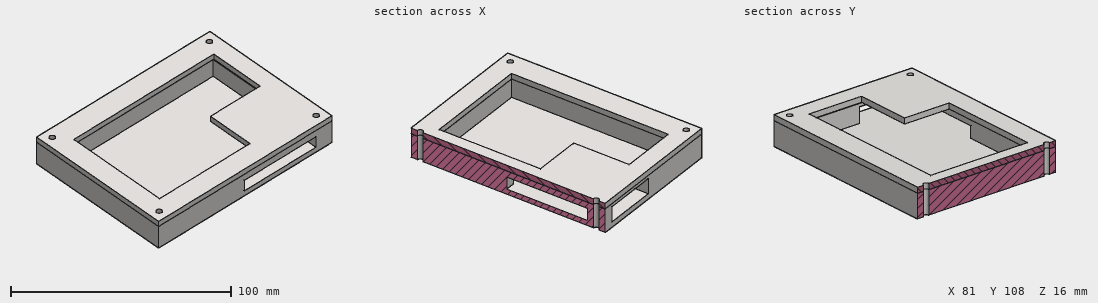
import cadquery as cq

LENGTH = 108.0
WIDTH = 81.0
HEIGHT = 16.0
LID_THICKNESS = 3.0
BASE_HEIGHT = HEIGHT - LID_THICKNESS
FLOOR_THICKNESS = 3.0

HOLE_DIAMETER = 2.9
HOLE_INSET = 5.1

WINDOW_X_MIN = 12.9
WINDOW_X_MAX = 69.7
WINDOW_Y_MIN = 11.2
WINDOW_Y_MAX = 98.4
WINDOW_STEP_X = 43.5
WINDOW_STEP_Y = 67.5

CAVITY_X_MIN = WINDOW_X_MIN
CAVITY_X_MAX = 70.7
CAVITY_Y_MIN = WINDOW_Y_MIN
CAVITY_Y_MAX = 98.0

SIDE_PORT_START_Y = 53.4
SIDE_PORT_TOP = 9.3
END_PORT_START_X = 42.1
END_PORT_TOP = 11.2


def box_between(x_range, y_range, z_range):
    """Box spanning the given minimum and maximum along each axis."""
    size = [high - low for low, high in (x_range, y_range, z_range)]
    corner = (x_range[0], y_range[0], z_range[0])
    return cq.Workplane("XY").box(*size, centered=False).translate(corner)


def screw_holes():
    """Four cylinders that pass through the full height."""
    centres = [
        (x, y)
        for x in (HOLE_INSET, WIDTH - HOLE_INSET)
        for y in (HOLE_INSET, LENGTH - HOLE_INSET)
    ]
    return cq.Workplane("XY").pushPoints(centres).circle(HOLE_DIAMETER / 2).extrude(HEIGHT)


def make_base():
    """Open tray with a cavity, two wall ports and screw holes."""
    block = box_between((0, WIDTH), (0, LENGTH), (0, BASE_HEIGHT))
    cavity = box_between(
        (CAVITY_X_MIN, CAVITY_X_MAX),
        (CAVITY_Y_MIN, CAVITY_Y_MAX),
        (FLOOR_THICKNESS, BASE_HEIGHT),
    )
    side_port = box_between(
        (CAVITY_X_MAX, WIDTH),
        (SIDE_PORT_START_Y, CAVITY_Y_MAX),
        (FLOOR_THICKNESS, SIDE_PORT_TOP),
    )
    end_port = box_between(
        (END_PORT_START_X, CAVITY_X_MAX),
        (CAVITY_Y_MAX, LENGTH),
        (FLOOR_THICKNESS, END_PORT_TOP),
    )
    return block.cut(cavity).cut(side_port).cut(end_port).cut(screw_holes())


def make_lid():
    """Flat cover with an L-shaped window and screw holes."""
    plate = box_between((0, WIDTH), (0, LENGTH), (BASE_HEIGHT, HEIGHT))
    window = (
        cq.Workplane("XY", origin=(0, 0, BASE_HEIGHT))
        .moveTo(WINDOW_X_MIN, WINDOW_Y_MIN)
        .lineTo(WINDOW_X_MAX, WINDOW_Y_MIN)
        .lineTo(WINDOW_X_MAX, WINDOW_STEP_Y)
        .lineTo(WINDOW_STEP_X, WINDOW_STEP_Y)
        .lineTo(WINDOW_STEP_X, WINDOW_Y_MAX)
        .lineTo(WINDOW_X_MIN, WINDOW_Y_MAX)
        .close()
        .extrude(LID_THICKNESS)
    )
    return plate.cut(window).cut(screw_holes())


base = make_base()
lid = make_lid()

result = cq.Compound.makeCompound([base.val(), lid.val()])